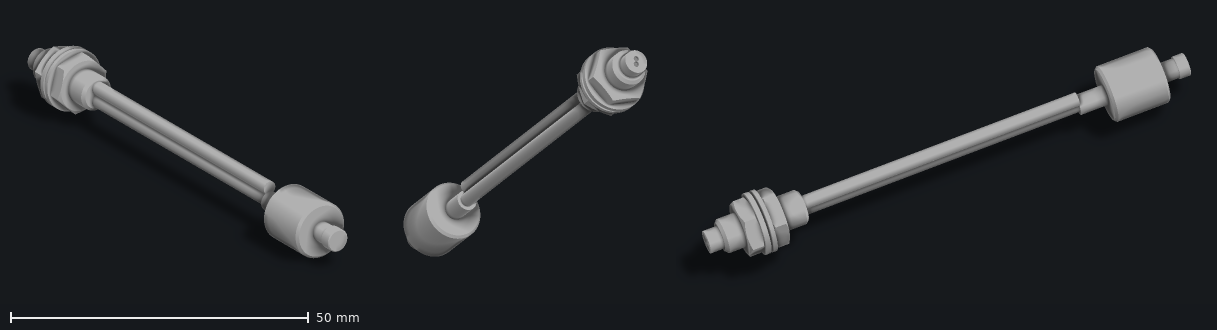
import cadquery as cq

total_length = 87.5

nose_radius = 2.0
nose_length = 2.45
thread_radius = 3.1
bushing_end_x = 17.6
thread_chamfer = 0.5
nose_hole_diameter = 1.0
nose_hole_depth = 0.4

nut_across_flats = 9.0
nut_thickness = 2.6
nut_bevel_height = 0.4
nut_turn = 15.0
washer_radius = 5.5
front_nut_x = 6.0
front_washer_thickness = 0.9
rear_washer_x = 10.0
rear_washer_thickness = 0.7

wire_diameter = 2.4
stem_start_x = 67.55

stem_axis_z = -1.2
stem_radius = 1.75
float_radius = 5.0
float_start_x = 72.5
float_length = 10.1
float_chamfer = 0.4
ring_radius = 2.0
ring_length = 2.0
ring_chamfer = 0.2

front_washer_x = front_nut_x + nut_thickness
rear_nut_x = rear_washer_x + rear_washer_thickness
ring_start_x = total_length - ring_length


def cylinder(start_x, length, radius, z=0.0):
    """Solid cylinder along +X."""
    return cq.Workplane("YZ", origin=(start_x, 0, z)).circle(radius).extrude(length)


def tube(start_x, length, outer_radius, inner_radius, z=0.0):
    """Hollow cylinder along +X."""
    profile = cq.Workplane("YZ", origin=(start_x, 0, z)).circle(outer_radius).circle(inner_radius)
    return profile.extrude(length)


def make_bushing():
    thread = cylinder(nose_length, bushing_end_x - nose_length, thread_radius)
    thread = thread.faces("<X or >X").chamfer(thread_chamfer)
    bushing = thread.union(cylinder(0, nose_length, nose_radius))
    for side in (1, -1):
        hole_z = side * nose_hole_diameter / 2
        bushing = bushing.cut(cylinder(0, nose_hole_depth, nose_hole_diameter / 2, hole_z))
    return bushing


def make_nut(start_x, turn):
    """Hex nut with corners bevelled at both ends, turned about X from a corner on Z."""
    flat_radius = nut_across_flats / 2
    hexagon = cq.Workplane("YZ", origin=(start_x, 0, 0)).polygon(6, nut_across_flats, circumscribed=True)
    nut = hexagon.circle(thread_radius).extrude(nut_thickness)
    nut = nut.rotate((0, 0, 0), (1, 0, 0), turn)
    bevel_width = 2 * nut_bevel_height
    envelope = cylinder(start_x, nut_thickness, flat_radius + bevel_width)
    envelope = envelope.faces("<X or >X").chamfer(nut_bevel_height, bevel_width)
    return nut.intersect(envelope)


def make_washer(start_x, thickness):
    return tube(start_x, thickness, washer_radius, thread_radius)


def make_wire(center_z):
    return cylinder(bushing_end_x, stem_start_x - bushing_end_x, wire_diameter / 2, center_z)


def make_stem():
    return cylinder(stem_start_x, total_length - stem_start_x, stem_radius, stem_axis_z)


def make_float():
    body = cylinder(float_start_x, float_length, float_radius, stem_axis_z)
    body = body.faces("<X or >X").chamfer(float_chamfer)
    return body.cut(make_stem())


def make_stop_ring():
    ring = cylinder(ring_start_x, ring_length, ring_radius, stem_axis_z)
    ring = ring.faces(">X").chamfer(ring_chamfer)
    return ring.cut(make_stem())


bushing = make_bushing()
nuts = [make_nut(x, turn) for x, turn in ((front_nut_x, nut_turn), (rear_nut_x, -nut_turn))]
washers = [
    make_washer(front_washer_x, front_washer_thickness),
    make_washer(rear_washer_x, rear_washer_thickness),
]
wires = [make_wire(side * wire_diameter / 2) for side in (1, -1)]
stem = make_stem()
float_body = make_float()
stop_ring = make_stop_ring()

bodies = [bushing, *nuts, *washers, *wires, stem, float_body, stop_ring]
result = cq.Compound.makeCompound([body.val() for body in bodies])